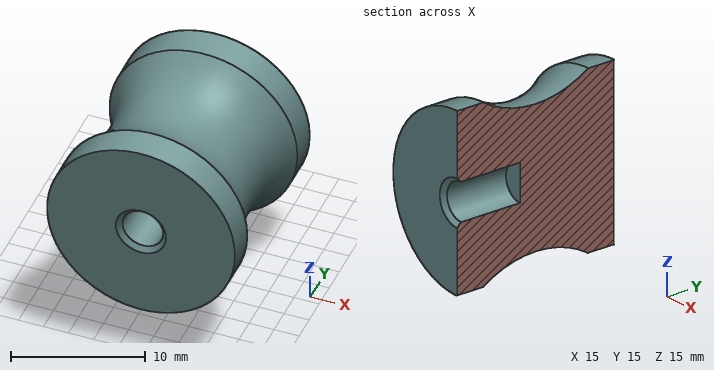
import cadquery as cq

length = 15.0
flange_diameter = 15.0
flange_width = 2.5
waist_diameter = 12.0
hole_diameter = 3.24
hole_mouth_diameter = 4.0
hole_depth = 6.0

flange_radius = flange_diameter / 2
waist_radius = waist_diameter / 2
half_length = length / 2
groove_half_width = half_length - flange_width
front_face = -half_length


def spool_body():
    """Two cylindrical rims joined by a concave circular-arc waist."""
    return (
        cq.Workplane("XY")
        .moveTo(0, -half_length)
        .lineTo(flange_radius, -half_length)
        .lineTo(flange_radius, -groove_half_width)
        .threePointArc((waist_radius, 0), (flange_radius, groove_half_width))
        .lineTo(flange_radius, half_length)
        .lineTo(0, half_length)
        .close()
        .revolve(360, (0, 0), (0, 1))
    )


def blind_hole():
    """Flat-bottomed hole along Y with a 45 degree countersunk mouth."""
    hole_radius = hole_diameter / 2
    mouth_radius = hole_mouth_diameter / 2
    chamfer = mouth_radius - hole_radius
    return (
        cq.Workplane("XY")
        .moveTo(0, front_face)
        .lineTo(mouth_radius, front_face)
        .lineTo(hole_radius, front_face + chamfer)
        .lineTo(hole_radius, front_face + hole_depth)
        .lineTo(0, front_face + hole_depth)
        .close()
        .revolve(360, (0, 0), (0, 1))
    )


result = spool_body().cut(blind_hole())